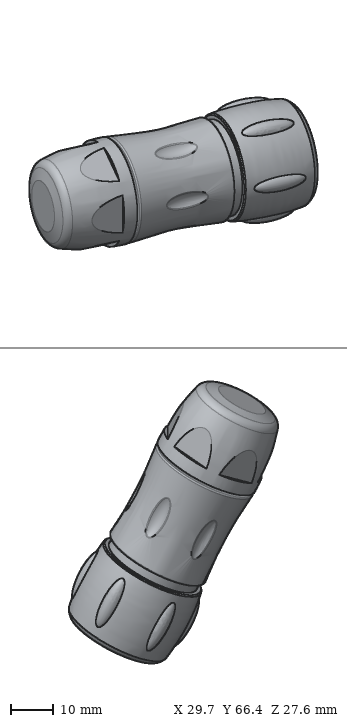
import cadquery as cq


total_length = 66.4
grip_count = 6

coupling_length = 19.65
coupling_max_radius = 27.55 / 2
coupling_edge_radius = 13.1
front_round_length = 1.25
front_face_radius = 12.15
front_round_mid_drop = 0.365
rear_chamfer = 0.3

bump_center_y = 55.9
bump_top_radius = 29.7 / 2
bump_half_length = 7.2
bump_half_width = 2.2

front_neck_length = 2.4
front_neck_radius = 11.75

sleeve_length = 25.0
sleeve_front_radius = 12.75
sleeve_waist_radius = 12.15
sleeve_rear_radius = 12.95
sleeve_edge_round = 0.3

dimple_center_y = 32.05
dimple_depth = 0.9
dimple_half_length = 7.0
dimple_half_width = 2.85
dimple_rim_round = 0.4

rear_neck_length = 0.7
rear_neck_radius = 8.75

nut_collar_length = 3.4
nut_front_radius = 13.0
nut_flat_distance = 11.95
nut_flat_end_y = 7.1
nut_shoulder_y = 2.5
nut_shoulder_radius = 10.9
nut_rim_y = 0.8
nut_rim_radius = 9.15
nut_end_radius = 6.25
nut_round_mid_radius = 10.3
nut_round_mid_y = 1.45

coupling_rear_y = total_length - coupling_length
sleeve_front_y = coupling_rear_y - front_neck_length
sleeve_rear_y = sleeve_front_y - sleeve_length
sleeve_mid_y = (sleeve_front_y + sleeve_rear_y) / 2
nut_front_y = sleeve_rear_y - rear_neck_length
nut_collar_y = nut_front_y - nut_collar_length


def revolve_about_y(profile):
    """Turn a closed profile in the XY plane once around the Y axis."""
    return profile.close().revolve(360, (0, 0, 0), (0, 1, 0))


def spheroid(half_length, half_width, center_x, center_y):
    """An ellipsoid of revolution whose long axis is parallel to Y."""
    half_ellipse = cq.Workplane("XY").moveTo(0, -half_length).ellipseArc(
        half_width, half_length, -90, 90, startAtCurrent=True
    )
    return revolve_about_y(half_ellipse).translate((center_x, center_y, 0))


def around_axis(shape):
    """Copies of a shape, spaced evenly around the Y axis."""
    step = 360 / grip_count
    return [shape.rotate((0, 0, 0), (0, 1, 0), i * step) for i in range(grip_count)]


def make_coupling():
    """Barrel with a rounded front edge and a chamfered rear edge, carrying the bumps."""
    front_edge_y = total_length - front_round_length
    barrel = revolve_about_y(
        cq.Workplane("XY")
        .moveTo(0, coupling_rear_y)
        .lineTo(coupling_edge_radius - rear_chamfer, coupling_rear_y)
        .lineTo(coupling_edge_radius, coupling_rear_y + rear_chamfer)
        .threePointArc((coupling_max_radius, bump_center_y), (coupling_edge_radius, front_edge_y))
        .threePointArc(
            (coupling_edge_radius - front_round_mid_drop, total_length - front_round_length / 2),
            (front_face_radius, total_length),
        )
        .lineTo(0, total_length)
    )
    bump = spheroid(bump_half_length, bump_half_width, bump_top_radius - bump_half_width, bump_center_y)
    for copy in around_axis(bump):
        barrel = barrel.union(copy)
    return barrel


def make_sleeve():
    """Waisted sleeve with rounded end edges and dimples with rounded rims."""
    sleeve = revolve_about_y(
        cq.Workplane("XY")
        .moveTo(0, sleeve_rear_y)
        .lineTo(sleeve_rear_radius, sleeve_rear_y)
        .threePointArc((sleeve_waist_radius, sleeve_mid_y), (sleeve_front_radius, sleeve_front_y))
        .lineTo(0, sleeve_front_y)
    )
    sleeve = sleeve.rotate((0, 0, 0), (0, 1, 0), 180 / grip_count)
    sleeve = sleeve.faces("<Y or >Y").edges().fillet(sleeve_edge_round)
    dimple_x = sleeve_waist_radius - dimple_depth + dimple_half_width
    dimple = spheroid(dimple_half_length, dimple_half_width, dimple_x, dimple_center_y)
    for copy in around_axis(dimple):
        sleeve = sleeve.cut(copy)
    rims = cq.selectors.BoxSelector(
        (-total_length, dimple_center_y - dimple_half_length, -total_length),
        (total_length, dimple_center_y + dimple_half_length, total_length),
    )
    sleeve = sleeve.edges("%BSPLINE").edges(rims).fillet(dimple_rim_round)
    return sleeve


def make_neck(radius, rear_y, length):
    """Plain round neck running forward from rear_y."""
    return cq.Workplane("XZ", origin=(0, rear_y, 0)).circle(radius).extrude(-length)


def make_housing():
    """Coupling ring, sleeve and the two necks as one body."""
    front_neck = make_neck(front_neck_radius, sleeve_front_y, front_neck_length)
    rear_neck = make_neck(rear_neck_radius, nut_front_y, rear_neck_length)
    return make_coupling().union(front_neck).union(make_sleeve()).union(rear_neck)


def make_clamp_nut():
    """Nut with one curved taper, a rounded rear edge and wrench flats behind a collar."""
    nut = revolve_about_y(
        cq.Workplane("XY")
        .lineTo(nut_end_radius, 0)
        .lineTo(nut_rim_radius, nut_rim_y)
        .threePointArc((nut_round_mid_radius, nut_round_mid_y), (nut_shoulder_radius, nut_shoulder_y))
        .threePointArc((nut_flat_distance, nut_flat_end_y), (nut_front_radius, nut_front_y))
        .lineTo(0, nut_front_y)
    )
    flat_cutter = cq.Workplane("XY").box(
        nut_front_radius, nut_collar_y, 2 * nut_front_radius, centered=(False, False, True)
    ).translate((nut_flat_distance, 0, 0))
    for copy in around_axis(flat_cutter):
        nut = nut.cut(copy)
    return nut


housing = make_housing()
clamp_nut = make_clamp_nut()

result = cq.Compound.makeCompound([housing.solids().val(), clamp_nut.solids().val()])